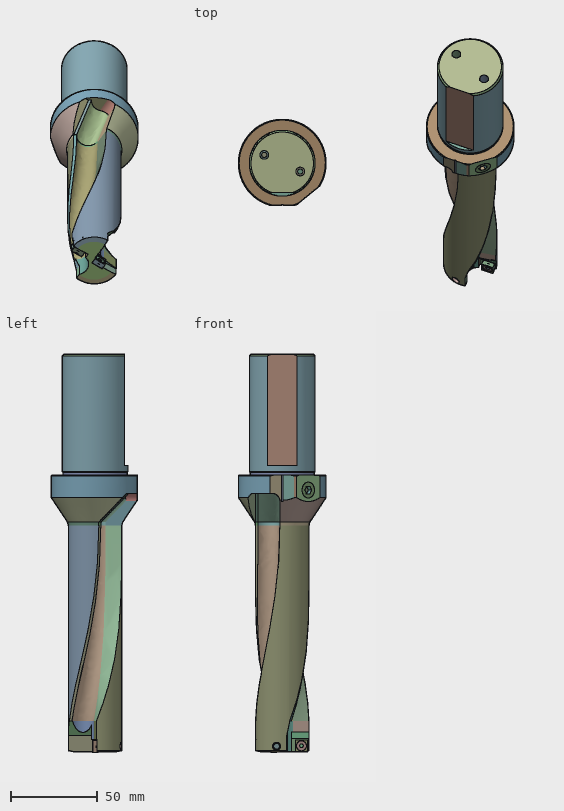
import cadquery as cq
import math


shank_radius = 19.05
shank_length = 70.0
shank_chamfer = 1.0
undercut_radius = 18.6
undercut_height = 1.6
undercut_chamfer = 0.45
shank_flat_distance = 17.05
shank_flat_bottom = 5.6

flange_radius = 25.4
flange_chamfer = 0.5
flange_height = 13.0
cone_bottom = -27.2
neck_bottom = -29.2
front_flat_distance = 24.4
plug_flat_distance = 23.9
plug_flat_angle = -51.0
mark_width = 0.8
mark_depth = 0.4

drill_radius = 15.5
neck_radius = drill_radius + 0.5
tip_z = -159.9
tip_edge_width = 3.0
tip_edge_rise = 0.6
overall_length = 230.39
lowest_corner_z = shank_length - overall_length
cut_margin = 1.0

flute_wall_x = -1.4
trough_start_y = -6.2
lip_inner_x = -14.0
lip_inner_y = -3.3
lip_outer_x = -15.4
lip_outer_y = -2.1
flute_reach = 25.0
twist_top = neck_bottom
twist_length = 113.0
twist_angle = 82.0
twist_sections = 12
runout_top = -10.5
runout_slope = 0.97
runout_fillet = 4.5

trough_width = flute_wall_x - lip_inner_x
trough_drop = lip_inner_y - trough_start_y
trough_radius = (trough_width**2 + trough_drop**2) / (2 * trough_width)
trough_center_x = flute_wall_x - trough_radius

coolant_x = 10.4
coolant_y = -4.8
coolant_thread_radius = 2.5
coolant_thread_depth = 12.0
coolant_bore_radius = 1.5
coolant_depth = 85.0

plug_z = -8.6
plug_radius = 4.6
plug_length = 6.0
plug_socket_size = 5.0
plug_socket_depth = 3.0

insert_size = 6.9
insert_thickness = 3.3
insert_face = 1.5
insert_back = insert_face - insert_thickness
seat_floor = -1.0
seat_top = -152.8
center_insert_offset = 3.3
center_insert_tilt = 4.0
center_seat_inner_edge = -0.4
outer_insert_offset = 11.1
outer_seat_inner_edge = 5.4
outer_step_top = -148.5
outer_recess_top = -152.3
outer_lip_edge = 2.6
lip_relief_top = -142.0
lip_relief_top_edge = 4.4
lip_relief_bottom = -150.5
lip_relief_floor = 2.0
screw_radius = 1.7
screw_head_radius = 2.9
screw_head_height = 1.9
screw_head_sink = 0.4
screw_socket_size = 2.4
screw_socket_depth = 1.2
center_screw_end = -12.8
outer_screw_end = -8.0
exit_hole_radius = 2.3
exit_hole_start = -10.5

tilt = math.radians(center_insert_tilt)
tilted_half_height = insert_size / 2 * (math.cos(tilt) + math.sin(tilt))
center_insert_z = lowest_corner_z + tilted_half_height
outer_insert_z = tip_z + insert_size / 2


def block(x_min, x_max, y_min, y_max, z_min, z_max):
    """Box given by its limits along each axis."""
    size = (x_max - x_min, y_max - y_min, z_max - z_min)
    return cq.Workplane("XY").box(*size, centered=False).translate((x_min, y_min, z_min))


def half_turn(shape):
    """Copy of a shape turned to the opposite side of the drill axis."""
    return shape.rotate((0, 0, 0), (0, 0, 1), 180)


def turned_body():
    outline = [
        (0, tip_z),
        (drill_radius - tip_edge_width, tip_z),
        (drill_radius, tip_z + tip_edge_rise),
        (drill_radius, neck_bottom),
        (neck_radius, cone_bottom),
        (flange_radius, -flange_height),
        (flange_radius, -flange_chamfer),
        (flange_radius - flange_chamfer, 0),
        (undercut_radius, 0),
        (undercut_radius, undercut_height),
        (shank_radius, undercut_height + undercut_chamfer),
        (shank_radius, shank_length - shank_chamfer),
        (shank_radius - shank_chamfer, shank_length),
        (0, shank_length),
    ]
    return cq.Workplane("XZ").polyline(outline).close().revolve(360, (0, 0, 0), (0, 1, 0))


def flat_cutter(distance, angle, z_min, z_max):
    """Block that leaves a flat whose normal lies at the given angle from +X."""
    cutter = block(distance, 2 * flange_radius, -flange_radius, flange_radius, z_min, z_max)
    return cutter.rotate((0, 0, 0), (0, 0, 1), angle)


def cut_flats(body):
    body = body.cut(flat_cutter(shank_flat_distance, -90, shank_flat_bottom, shank_length))
    body = body.cut(flat_cutter(front_flat_distance, -90, cone_bottom, 0))
    body = body.cut(flat_cutter(plug_flat_distance, plug_flat_angle, cone_bottom, 0))
    mark = block(
        -mark_width / 2, mark_width / 2,
        -flange_radius, -front_flat_distance + mark_depth,
        cone_bottom, 0,
    )
    return body.cut(mark)


def flute_section(z, angle):
    """Cross-section of the open flute at height z, turned about the drill axis."""
    section = (
        cq.Workplane("XY")
        .moveTo(-flute_reach, lip_outer_y)
        .lineTo(lip_outer_x, lip_outer_y)
        .lineTo(lip_inner_x, lip_inner_y)
        .threePointArc(
            (trough_center_x, trough_start_y + trough_radius),
            (flute_wall_x, trough_start_y),
        )
        .lineTo(flute_wall_x, -2 * flute_reach)
        .lineTo(-flute_reach, -2 * flute_reach)
        .close()
    )
    wire = section.val()
    return wire.rotate(cq.Vector(0, 0, 0), cq.Vector(0, 0, 1), angle).translate(cq.Vector(0, 0, z))


def twisted_flute():
    """Flute whose twist grows with the square of the distance below the neck."""
    wires = []
    for i in range(twist_sections + 1):
        fraction = i / twist_sections
        wires.append(flute_section(twist_top - twist_length * fraction, -twist_angle * fraction**2))
    return cq.Workplane(cq.Solid.makeLoft(wires))


def straight_flute(z_start, z_end, angle, slope=0):
    """Flute of constant section that moves outward (-Y) by the slope times its height."""
    face = cq.Face.makeFromWires(flute_section(z_start, angle))
    height = z_end - z_start
    return cq.Workplane(cq.Solid.extrudeLinear(face, cq.Vector(0, -slope * height, height)))


def flute_runout():
    """Channel that climbs out through the cone and ends in a rounded roof."""
    channel = straight_flute(cone_bottom, runout_top, 0, runout_slope)
    arch = block(-2 * flute_reach, flute_wall_x, -3 * flute_reach, flute_reach, cone_bottom, runout_top)
    arch = arch.edges("|Y and >X and >Z").fillet(runout_fillet)
    return channel.intersect(arch)


def cut_flutes(body):
    twist_end = twist_top - twist_length
    cutters = [
        flute_runout(),
        straight_flute(cone_bottom, twist_top, 0),
        twisted_flute(),
        straight_flute(twist_end, lowest_corner_z - cut_margin, -twist_angle),
    ]
    for cutter in cutters:
        body = body.cut(cutter).cut(half_turn(cutter))
    return body


def cut_coolant_holes(body):
    for side in (1, -1):
        top = cq.Workplane("XY", origin=(side * coolant_x, side * coolant_y, shank_length))
        body = body.cut(top.circle(coolant_thread_radius).extrude(-coolant_thread_depth))
        body = body.cut(top.circle(coolant_bore_radius).extrude(-coolant_depth))
    return body


def plug_cylinder():
    plane = cq.Plane(origin=(plug_flat_distance, 0, plug_z), xDir=(0, 1, 0), normal=(1, 0, 0))
    return cq.Workplane(plane).circle(plug_radius).extrude(-plug_length)


def make_plug_screw():
    plug = plug_cylinder().faces(">X").workplane(centerOption="CenterOfMass")
    return plug.polygon(6, plug_socket_size).cutBlind(-plug_socket_depth)


def place_plug(shape):
    return shape.rotate((0, 0, 0), (0, 0, 1), plug_flat_angle)


def on_insert_face(offset, z, y=insert_face):
    """Work plane facing +Y, centred on an insert at the given distance from the drill axis."""
    return cq.Workplane(cq.Plane(origin=(-offset, y, z), xDir=(-1, 0, 0), normal=(0, 1, 0)))


def insert_block(offset, z, tilt_angle):
    square = on_insert_face(offset, z).rect(insert_size, insert_size).extrude(-insert_thickness)
    return square.rotate((-offset, 0, z), (-offset, 1, z), -tilt_angle)


def screw_shape(offset, z, end_y, head_top=insert_face):
    """Headed screw, or the hole for it, from the top of the head to end_y."""
    head_bottom = insert_face - screw_head_height
    head = on_insert_face(offset, z, head_top).circle(screw_head_radius).extrude(head_bottom - head_top)
    shaft = on_insert_face(offset, z, head_bottom).circle(screw_radius).extrude(end_y - head_bottom)
    return head.union(shaft)


def make_insert(offset, z, tilt_angle):
    return insert_block(offset, z, tilt_angle).cut(screw_shape(offset, z, insert_back - cut_margin))


def make_screw(offset, z, end_y):
    head_top = insert_face - screw_head_sink
    socket = on_insert_face(offset, z, head_top).polygon(6, screw_socket_size).extrude(-screw_socket_depth)
    return screw_shape(offset, z, end_y, head_top).cut(socket)


def seat_step(inner_edge, floor_y, z_top):
    """Open step that clears the space around an insert down to the given floor."""
    return block(-flute_reach, -inner_edge, floor_y, flute_reach, lowest_corner_z - cut_margin, z_top)


def lip_relief(inner_edge):
    """Slanted cut that narrows the flute's lip toward the tip, down to the given distance from the axis."""
    outline = [
        (-inner_edge, lowest_corner_z - cut_margin),
        (-inner_edge, lip_relief_bottom),
        (-lip_relief_top_edge, lip_relief_top),
        (-flute_reach, lip_relief_top),
        (-flute_reach, lowest_corner_z - cut_margin),
    ]
    plane = cq.Workplane("XZ", origin=(0, lip_relief_floor, 0))
    return plane.polyline(outline).close().extrude(-flute_reach)


def cut_center_seat(body):
    offset, z = center_insert_offset, center_insert_z
    exit_hole = on_insert_face(offset, z, exit_hole_start).circle(exit_hole_radius).extrude(-flute_reach)
    body = body.cut(seat_step(center_seat_inner_edge, seat_floor, seat_top))
    body = body.cut(lip_relief(center_seat_inner_edge))
    body = body.cut(insert_block(offset, z, center_insert_tilt))
    return body.cut(screw_shape(offset, z, center_screw_end)).cut(exit_hole)


def cut_outer_seat(body):
    cutters = [
        seat_step(outer_seat_inner_edge, seat_floor, outer_step_top),
        lip_relief(outer_lip_edge),
        seat_step(outer_seat_inner_edge, insert_back, outer_recess_top),
        screw_shape(outer_insert_offset, outer_insert_z, outer_screw_end),
    ]
    for cutter in cutters:
        body = body.cut(half_turn(cutter))
    return body


center_insert = make_insert(center_insert_offset, center_insert_z, center_insert_tilt)
center_screw = make_screw(center_insert_offset, center_insert_z, center_screw_end)
outer_insert = half_turn(make_insert(outer_insert_offset, outer_insert_z, 0))
outer_screw = half_turn(make_screw(outer_insert_offset, outer_insert_z, outer_screw_end))
plug_screw = place_plug(make_plug_screw())

drill_body = cut_flutes(cut_flats(turned_body()))
drill_body = cut_coolant_holes(drill_body)
drill_body = drill_body.cut(place_plug(plug_cylinder()))
drill_body = cut_outer_seat(cut_center_seat(drill_body))

bodies = [drill_body, center_insert, outer_insert, center_screw, outer_screw, plug_screw]
result = cq.Compound.makeCompound([body.solids().val() for body in bodies])